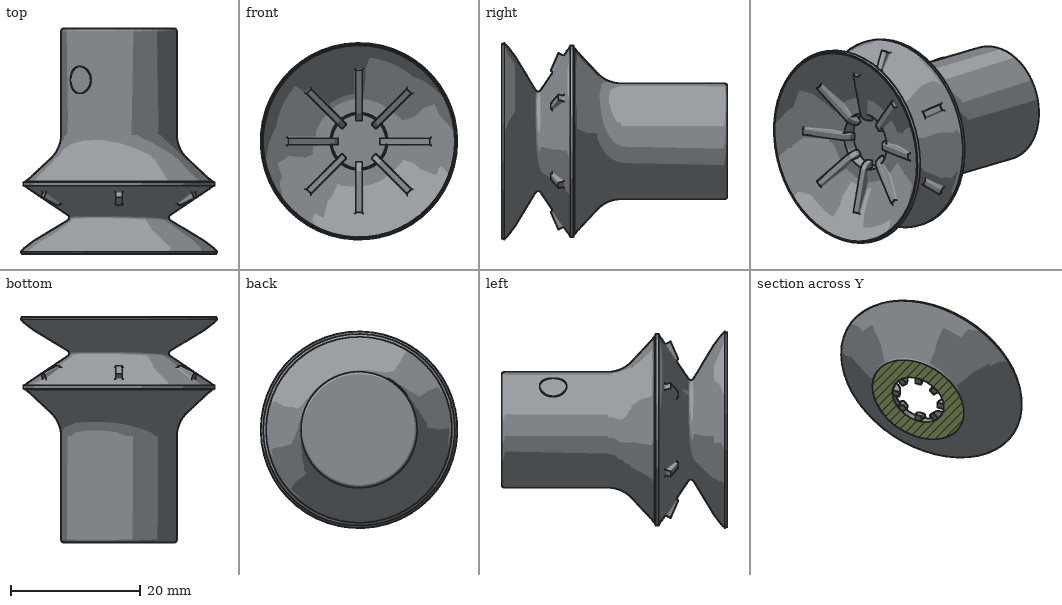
import cadquery as cq
import math

length = 35.0
neck_radius = 9.0
neck_edge_fillet = 0.5

shoulder_radius = 5.0
shoulder_start = 18.5
shoulder_angle = math.radians(47.0)

fold_radius = 14.4
fold_center = 10.88
ring_radius = 14.85
ring_thickness = 0.48
ring_root_thickness = 0.9
fold_top = (13.95, 11.7)
fold_top_middle = (14.2, 11.52)
fold_bottom = (13.75, 9.95)
fold_bottom_middle = (14.12, 10.2)

waist_radius = 7.75
waist_top = (7.95, 6.05)
waist_bottom = (8.0, 5.25)
waist_center = 5.67

lip_radius = 15.25
lip_edge = 0.4
lip_front_outer = 15.05
lip_front_inner = 14.85
lip_outer_start = (13.2, 2.1)
lip_outer_middle = (14.3, 1.3)
lip_inner_start = (13.08, 1.75)
lip_inner_middle = (14.0, 1.02)

cone_end_radius = 7.38
flat_radius = 6.32
flat_depth = 4.55
hole_radius = 4.45
hole_floor_radius = 4.2
hole_floor = 6.4

rib_width = 1.0
rib_crest_fillet = 0.1
rib_base_fillet = 0.2
body_seam_angle = 15.0
rib_root = 0.5

inner_rib_count = 8
inner_rib_first_angle = 0.0
inner_rib_tip = 10.98
inner_rib_tip_depth = 2.25
inner_rib_crest_angle = math.radians(14.0)
inner_rib_bend = 4.6
inner_rib_end = 3.2

outer_rib_count = 6
outer_rib_first_angle = 30.0
outer_rib_crest_front = (10.95, 7.6)
outer_rib_crest_back = (13.7, 8.8)
outer_rib_root_front = (10.6, 8.15)
outer_rib_root_back = (12.85, 10.45)

pad_radius = 2.1
pad_height = 0.15
pad_position = 27.0
pad_angle = 42.0


def point_between(first, second, fraction):
    """Profile point a given fraction of the way from the first to the second."""
    return (
        first[0] + fraction * (second[0] - first[0]),
        first[1] + fraction * (second[1] - first[1]),
    )


def line_crossing(first, second, start, end):
    """Profile point where the line through first and second crosses the line from start to end."""
    along = (end[0] - start[0], end[1] - start[1])
    across = (second[0] - first[0], second[1] - first[1])
    offset = (first[0] - start[0], first[1] - start[1])
    turn = along[0] * across[1] - along[1] * across[0]
    fraction = (offset[0] * across[1] - offset[1] * across[0]) / turn
    return point_between(start, end, fraction)


def tangent_cone_depth():
    """Depth where the hollow's cone ends so that one arc joins it smoothly to the flat."""
    start_radius, start_depth = lip_inner_start
    run = cone_end_radius - flat_radius
    drop = flat_depth - start_depth
    tangent = run / 2
    settling_passes = 20
    for _ in range(settling_passes):
        cone_angle = math.atan2(drop, start_radius - flat_radius - tangent)
        tangent = run / (1 + math.cos(cone_angle))
    return flat_depth - tangent * math.sin(cone_angle)


def make_body():
    shoulder_end_radius = neck_radius + shoulder_radius * (1 - math.cos(shoulder_angle))
    shoulder_end = shoulder_start - shoulder_radius * math.sin(shoulder_angle)
    half_angle = shoulder_angle / 2
    shoulder_middle = (
        neck_radius + shoulder_radius * (1 - math.cos(half_angle)),
        shoulder_start - shoulder_radius * math.sin(half_angle),
    )
    ring_top = fold_center + ring_root_thickness / 2
    ring_bottom = fold_center - ring_root_thickness / 2
    cone_end_depth = tangent_cone_depth()
    profile = (
        cq.Workplane("XY")
        .moveTo(0, length)
        .lineTo(neck_radius - neck_edge_fillet, length)
        .radiusArc((neck_radius, length - neck_edge_fillet), neck_edge_fillet)
        .lineTo(neck_radius, shoulder_start)
        .threePointArc(shoulder_middle, (shoulder_end_radius, shoulder_end))
        .lineTo(*fold_top)
        .threePointArc(fold_top_middle, (fold_radius, ring_top))
        .lineTo(ring_radius, fold_center + ring_thickness / 2)
        .lineTo(ring_radius, fold_center - ring_thickness / 2)
        .lineTo(fold_radius, ring_bottom)
        .threePointArc(fold_bottom_middle, fold_bottom)
        .lineTo(*waist_top)
        .threePointArc((waist_radius, waist_center), waist_bottom)
        .lineTo(*lip_outer_start)
        .threePointArc(lip_outer_middle, (lip_radius, lip_edge))
        .lineTo(lip_front_outer, 0)
        .lineTo(lip_front_inner, 0)
        .threePointArc(lip_inner_middle, lip_inner_start)
        .lineTo(cone_end_radius, cone_end_depth)
        .tangentArcPoint((flat_radius, flat_depth), relative=False)
        .lineTo(hole_radius, flat_depth)
        .lineTo(hole_floor_radius, hole_floor)
        .lineTo(0, hole_floor)
        .close()
    )
    body = profile.revolve(360, (0, 0, 0), (0, 1, 0))
    return body.rotate((0, 0, 0), (0, 1, 0), body_seam_angle)


def around_axis(shape, count, start_angle):
    """Fuse copies of a shape spaced evenly around the Y axis."""
    copies = cq.Workplane("XY")
    for index in range(count):
        angle = start_angle + index * 360 / count
        copies = copies.union(shape.rotate((0, 0, 0), (0, 1, 0), angle))
    return copies


def round_crest(rib, crest_point):
    """Round the long crest edges on both flanks of a rib, found from a point on the crest."""
    for side in (-1, 1):
        edge_point = (*crest_point, side * rib_width / 2)
        rib = rib.edges(cq.selectors.NearestToPointSelector(edge_point)).fillet(rib_crest_fillet)
    return rib


def make_inner_rib():
    bend_depth = inner_rib_tip_depth + (inner_rib_tip - inner_rib_bend) * math.tan(inner_rib_crest_angle)
    bend_radius = (inner_rib_bend - inner_rib_end) / (1 - math.sin(inner_rib_crest_angle))
    end_depth = bend_depth + bend_radius * math.cos(inner_rib_crest_angle)
    rib = (
        cq.Workplane("XY")
        .moveTo(inner_rib_tip, inner_rib_tip_depth + 2 * rib_root)
        .lineTo(inner_rib_tip, inner_rib_tip_depth)
        .lineTo(inner_rib_bend, bend_depth)
        .radiusArc((inner_rib_end, end_depth), bend_radius)
        .lineTo(hole_radius + rib_root, end_depth)
        .lineTo(flat_radius + rib_root, flat_depth + rib_root)
        .close()
        .extrude(rib_width / 2, both=True)
    )
    crest_tip = (inner_rib_tip, inner_rib_tip_depth)
    return round_crest(rib, point_between(crest_tip, (inner_rib_bend, bend_depth), 0.5))


def make_outer_rib():
    outline = [outer_rib_root_front, outer_rib_crest_front, outer_rib_crest_back, outer_rib_root_back]
    rib = cq.Workplane("XY").polyline(outline).close().extrude(rib_width / 2, both=True)
    return round_crest(rib, point_between(outer_rib_crest_front, outer_rib_crest_back, 0.5))


def inner_base_points():
    """Points on the edges where an inner rib's flanks and tip meet the hollow's cone."""
    cone_end = (cone_end_radius, tangent_cone_depth())
    cone_length = lip_inner_start[0] - cone_end_radius
    tip = point_between(cone_end, lip_inner_start, (inner_rib_tip - cone_end_radius) / cone_length)
    middle = point_between(cone_end, tip, 0.5)
    return [(*middle, rib_width / 2), (*middle, -rib_width / 2), (*tip, 0)]


def outer_base_points():
    """Points on the edges where an outer rib's flanks and ends meet the cone below the fold."""
    front = line_crossing(outer_rib_root_front, outer_rib_crest_front, waist_top, fold_bottom)
    back = line_crossing(outer_rib_root_back, outer_rib_crest_back, waist_top, fold_bottom)
    middle = point_between(front, back, 0.5)
    return [(*middle, rib_width / 2), (*middle, -rib_width / 2), (*front, 0), (*back, 0)]


def round_bases(cup, base_points, count, start_angle):
    """Fillet the base edges of every rib of a ring, found from points on the first rib's edges."""
    edges = []
    for index in range(count):
        angle = start_angle + index * 360 / count
        for base_point in base_points:
            spot = cq.Workplane(cq.Vertex.makeVertex(*base_point)).rotate((0, 0, 0), (0, 1, 0), angle)
            nearest = cq.selectors.NearestToPointSelector(spot.val().toTuple())
            edges.extend(cup.edges(nearest).vals())
    return cup.newObject(edges).fillet(rib_base_fillet)


def make_pad():
    pad = (
        cq.Workplane("XY")
        .center(0, pad_position)
        .circle(pad_radius)
        .extrude(2 * neck_radius)
    )
    skin = (
        cq.Workplane("XZ")
        .circle(neck_radius + pad_height)
        .extrude(-length)
    )
    return pad.intersect(skin).rotate((0, 0, 0), (0, 1, 0), -pad_angle)


cup = make_body().union(make_pad())
cup = cup.union(around_axis(make_inner_rib(), inner_rib_count, inner_rib_first_angle))
cup = cup.union(around_axis(make_outer_rib(), outer_rib_count, outer_rib_first_angle))
cup = round_bases(cup, inner_base_points(), inner_rib_count, inner_rib_first_angle)
result = round_bases(cup, outer_base_points(), outer_rib_count, outer_rib_first_angle)